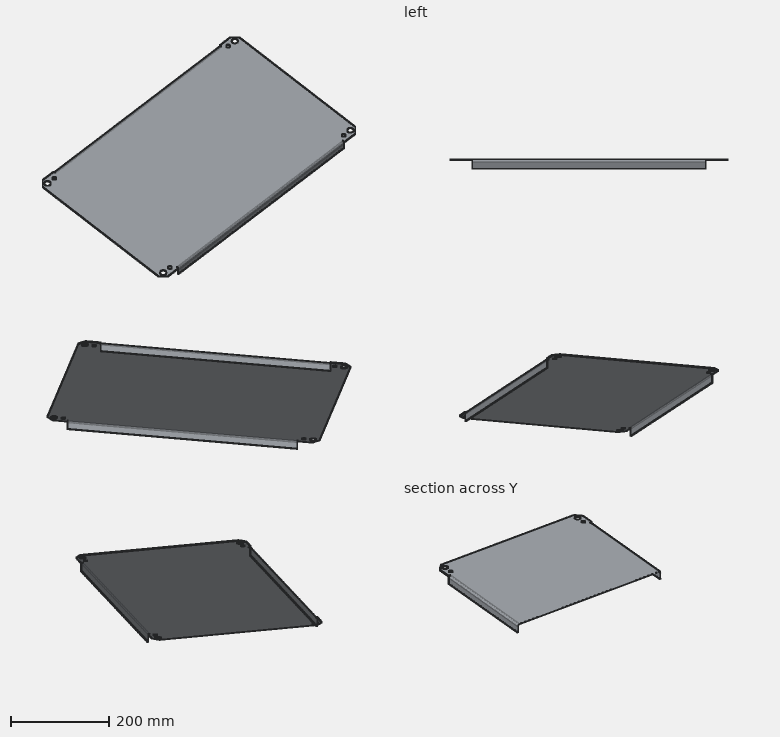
import cadquery as cq

width = 361.0
length = 564.0
height = 20.0
thickness = 2.5

corner_chamfer = 13.0
flange_length = 476.0
bend_outer_radius = 5.0
bend_inner_radius = bend_outer_radius - thickness

mount_hole_diameter = 13.0
small_hole_diameter = 8.0
hole_side_inset = 13.5
mount_hole_end_inset = 13.5
small_hole_end_inset = 32.5


def flat_plate():
    """Flat sheet with chamfered corners."""
    return (
        cq.Workplane("XY")
        .box(width, length, thickness, centered=(True, True, False))
        .translate((0, 0, -thickness))
        .edges("|Z")
        .chamfer(corner_chamfer)
    )


def corner_holes(diameter, end_inset):
    """Four cylinders, one per corner, that cut through the sheet."""
    return (
        cq.Workplane("XY")
        .rect(width - 2 * hole_side_inset, length - 2 * end_inset, forConstruction=True)
        .vertices()
        .circle(diameter / 2)
        .extrude(-thickness)
    )


def channel():
    """Sheet bent down along both long sides, over the flange length."""
    outer = (
        cq.Workplane("XY")
        .box(width, flange_length, height, centered=(True, True, False))
        .translate((0, 0, -height))
        .edges("|Y and >Z")
        .fillet(bend_outer_radius)
    )
    inner_height = height - thickness
    inner = (
        cq.Workplane("XY")
        .box(width - 2 * thickness, flange_length, inner_height, centered=(True, True, False))
        .translate((0, 0, -height))
        .edges("|Y and >Z")
        .fillet(bend_inner_radius)
    )
    return outer.cut(inner)


bent_zone = cq.Workplane("XY").box(width, flange_length, 2 * thickness)
result = flat_plate().cut(bent_zone).union(channel())
result = result.cut(corner_holes(mount_hole_diameter, mount_hole_end_inset))
result = result.cut(corner_holes(small_hole_diameter, small_hole_end_inset))